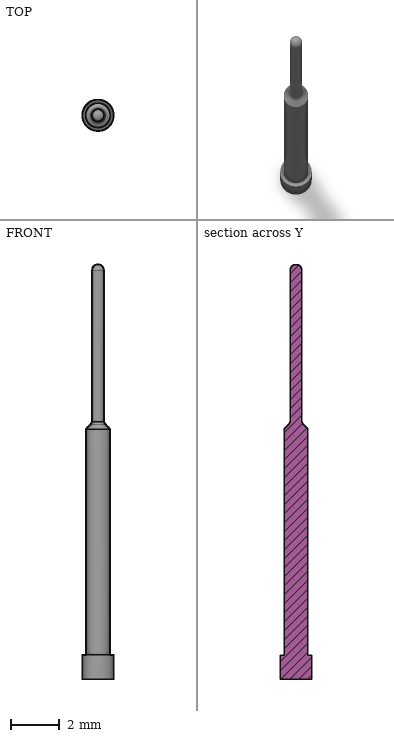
import cadquery as cq
import math

total_length = 17.0

head_radius = 1.3 / 2
head_height = 1.0

barrel_radius = 1.0 / 2
barrel_top = 10.25
shoulder_chamfer = 0.2
shoulder_top = barrel_top + shoulder_chamfer
shoulder_top_radius = barrel_radius - shoulder_chamfer

neck_height = 0.1
neck_top = shoulder_top + neck_height

plunger_radius = 0.5 / 2
tip_base = total_length - plunger_radius
tip_mid_offset = plunger_radius * math.sqrt(0.5)

half_profile = (
    cq.Workplane("XZ")
    .lineTo(head_radius, 0)
    .lineTo(head_radius, head_height)
    .lineTo(barrel_radius, head_height)
    .lineTo(barrel_radius, barrel_top)
    .lineTo(shoulder_top_radius, shoulder_top)
    .lineTo(plunger_radius, neck_top)
    .lineTo(plunger_radius, tip_base)
    .threePointArc((tip_mid_offset, tip_base + tip_mid_offset), (0, total_length))
    .close()
)

result = half_profile.revolve(360, (0, 0, 0), (0, 1, 0))